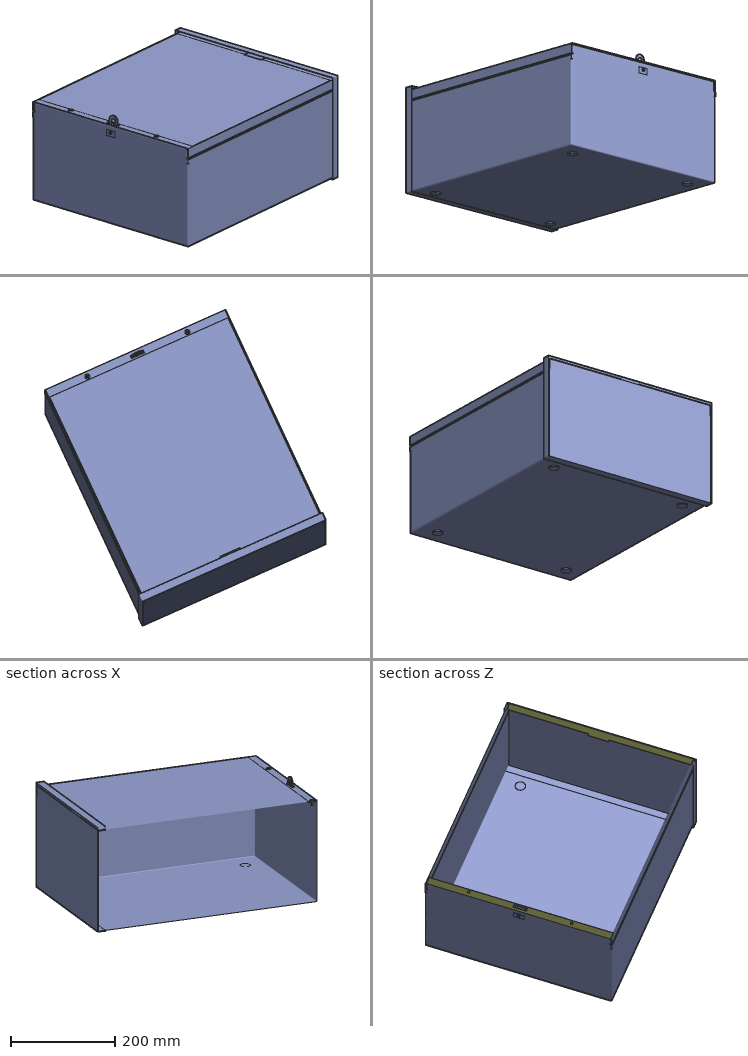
import cadquery as cq

overall_width = 388.91
overall_depth = 459.76
overall_height = 224.77
sheet = 1.5
bend_radius = 3.0

shield_depth = 17.0
shield_bottom = 1.1
shield_top = 214.0
shield_bend_radius = 2.0
shield_inner_half = overall_width / 2 - sheet
shield_inner_y = overall_depth - sheet

box_bottom = shield_bottom + sheet
box_half_width = 191.5
cover_side_gap = 0.5
upper_half_width = box_half_width - sheet - cover_side_gap
relief_bottom = 176.0
joggle_bottom = 184.5
joggle_top = 187.5
flange_depth = 17.0
rear_flange_edge = overall_depth - flange_depth
tab_width = 42.0
tab_depth = 4.0
tab_edge = rear_flange_edge - tab_depth
foot_diameter = 20.0
foot_spacing_x = 304.8
foot_front_y = 38.5
foot_spacing_y = 381.0

cover_top = 208.5
cover_underside = cover_top - sheet
cover_setback = 0.5
cover_flange_bottom = 188.0
cover_bend_radius = 3.5

screw_y = 10.5
screw_spacing = 211.2
head_diameter = 9.75
head_height = 2.4
shank_diameter = 4.17
shank_length = 9.53
recess_span = 5.0
recess_width = 1.0
recess_depth = 1.2

eye_diameter = 21.0
eye_hole_diameter = 9.53
eye_hole_drop = 12.0
hasp_thickness = 1.9
hasp_y = 9.2
hasp_leg_top = 196.2
hasp_leg_height = 12.6
hasp_hole_diameter = 3.45
wall_hole_diameter = 5.93
hasp_hole_z = 191.7
slot_length = 27.0
slot_width = 5.4


def block(half_width, y_min, y_max, z_min, z_max):
    """A block symmetric about X = 0."""
    return cq.Workplane("XY").box(
        2 * half_width, y_max - y_min, z_max - z_min, centered=(True, False, False)
    ).translate((0, y_min, z_min))


def box_form(inset):
    """The closed shape of the box, drawn in by the inset on every face."""
    radius = bend_radius - inset
    front = inset
    back = shield_inner_y - inset
    lower_half = box_half_width - inset
    upper_half = upper_half_width - inset
    lower = block(lower_half, front, back, box_bottom + inset, relief_bottom)
    lower = lower.edges("<Y and |Z or <Z").edges("not >Y").fillet(radius)
    joggle = (
        cq.Workplane("XZ")
        .moveTo(-lower_half, relief_bottom)
        .lineTo(lower_half, relief_bottom)
        .lineTo(lower_half, joggle_bottom)
        .lineTo(upper_half, joggle_top)
        .lineTo(-upper_half, joggle_top)
        .lineTo(-lower_half, joggle_bottom)
        .close()
        .extrude(front - back)
        .translate((0, front, 0))
    )
    upper = block(upper_half, front, back, joggle_top, cover_underside - inset)
    upper = upper.edges("<Y and (|Z or >Z)").fillet(radius)
    return lower.union(joggle).union(upper)


def at_screws(z):
    """A work plane at height z with the two screw positions selected."""
    return (
        cq.Workplane("XY", origin=(0, screw_y, z))
        .pushPoints([(-screw_spacing / 2, 0), (screw_spacing / 2, 0)])
    )


def screw_holes():
    return at_screws(cover_top - shank_length).circle(shank_diameter / 2).extrude(shank_length)


def hasp_slot():
    """Clearance for the hasp eye through the cover and the front flange."""
    slot_bottom = cover_underside - sheet
    return (
        cq.Workplane("XY", origin=(0, hasp_y + hasp_thickness / 2, slot_bottom))
        .rect(slot_length, slot_width)
        .extrude(cover_top - slot_bottom)
    )


def make_box():
    box = box_form(0).cut(box_form(sheet))
    flange_bottom = cover_underside - sheet
    opening = block(upper_half_width - sheet, flange_depth, rear_flange_edge, flange_bottom, cover_underside)
    tab = block(tab_width / 2, tab_edge, rear_flange_edge, flange_bottom, cover_underside)
    feet = (
        cq.Workplane("XY", origin=(0, foot_front_y + foot_spacing_y / 2, 0))
        .rect(foot_spacing_x, foot_spacing_y, forConstruction=True)
        .vertices()
        .circle(foot_diameter / 2)
        .extrude(box_bottom)
    )
    wall_hole = (
        cq.Workplane("XZ", origin=(0, sheet, hasp_hole_z))
        .circle(wall_hole_diameter / 2)
        .extrude(sheet)
    )
    box = box.cut(opening).cut(wall_hole)
    return box.union(tab).union(feet).cut(screw_holes()).cut(hasp_slot())


def make_shield():
    shield_front = overall_depth - shield_depth
    shield = block(overall_width / 2, shield_front, overall_depth, shield_bottom, shield_top)
    shield = shield.edges("|Y or >Y").fillet(shield_bend_radius)
    pocket = block(shield_inner_half, shield_front, shield_inner_y, box_bottom, shield_top - sheet)
    pocket = pocket.edges("|Y").fillet(shield_bend_radius - sheet)
    return shield.cut(pocket)


def make_cover():
    cover = block(box_half_width, cover_setback, shield_inner_y, cover_flange_bottom, cover_top)
    cover = cover.edges("|Y and >Z").fillet(cover_bend_radius)
    inner_half = box_half_width - sheet
    inside = block(inner_half, cover_setback, shield_inner_y, cover_flange_bottom, cover_underside)
    notch = block(tab_width / 2, tab_edge, shield_inner_y, cover_underside, cover_top)
    return cover.cut(inside).cut(notch).cut(screw_holes()).cut(hasp_slot())


def make_screws():
    head_radius = head_diameter / 2
    screw = (
        cq.Workplane("XZ")
        .moveTo(0, -shank_length)
        .lineTo(shank_diameter / 2, -shank_length)
        .lineTo(shank_diameter / 2, 0)
        .lineTo(head_radius, 0)
        .radiusArc((0, head_height), -(head_radius**2 + head_height**2) / (2 * head_height))
        .close()
        .revolve(360, (0, 0, 0), (0, 1, 0))
    )
    for span_x, span_y in ((recess_span, recess_width), (recess_width, recess_span)):
        recess = cq.Workplane("XY", origin=(0, 0, head_height - recess_depth)).rect(span_x, span_y)
        screw = screw.cut(recess.extrude(recess_depth))
    return [screw.translate((side * screw_spacing / 2, screw_y, cover_top)).val() for side in (-1, 1)]


def make_hasp():
    half = eye_diameter / 2
    eye_z = overall_height - half
    back = hasp_y + hasp_thickness
    eye_round = cq.Workplane("XZ", origin=(0, back, eye_z)).circle(half).extrude(hasp_thickness)
    eye_hole = (
        cq.Workplane("XZ", origin=(0, back, overall_height - eye_hole_drop))
        .circle(eye_hole_diameter / 2)
        .extrude(hasp_thickness)
    )
    eye = block(half, hasp_y, back, hasp_leg_top - hasp_thickness, eye_z).union(eye_round).cut(eye_hole)
    step = block(half, sheet, back, hasp_leg_top - hasp_thickness, hasp_leg_top)
    leg = block(half, sheet, sheet + hasp_thickness, hasp_leg_top - hasp_leg_height, hasp_leg_top)
    hole = (
        cq.Workplane("XZ", origin=(0, sheet + hasp_thickness, hasp_hole_z))
        .circle(hasp_hole_diameter / 2)
        .extrude(hasp_thickness)
    )
    return eye.union(step).union(leg.cut(hole))


box = make_box()
shield = make_shield()
cover = make_cover()
hasp = make_hasp()
screws = make_screws()

result = cq.Compound.makeCompound([box.val(), shield.val(), cover.val(), hasp.val(), *screws])